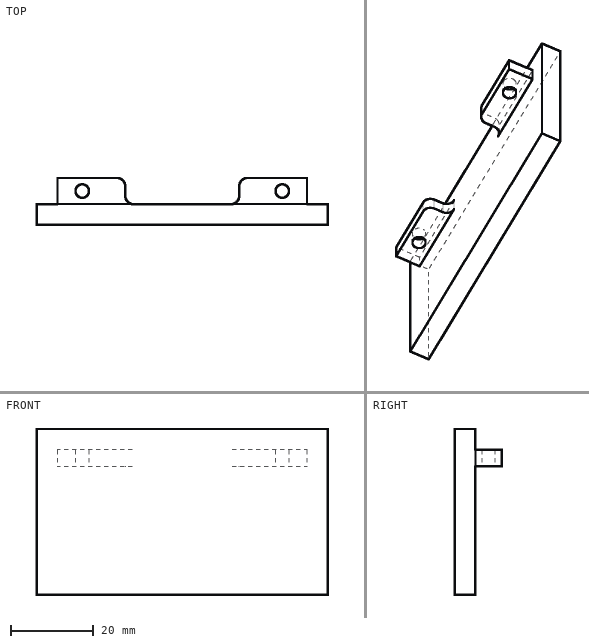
import cadquery as cq

plate_length = 70.26
plate_thickness = 5.0
plate_height = 40.0

tab_end_inset = 5.0
tab_top_inset = 5.0
tab_width = 16.4
tab_projection = 6.35
tab_thickness = 4.0
corner_radius = 2.0

hole_diameter = 3.2
hole_side_inset = 6.0
hole_offset = tab_projection / 2

tab_outer_x = plate_length / 2 - tab_end_inset
tab_inner_x = tab_outer_x - tab_width
tab_tip_y = plate_thickness + tab_projection
tab_bottom_z = plate_height - tab_top_inset - tab_thickness


def make_plate():
    return cq.Workplane("XY").box(
        plate_length, plate_thickness, plate_height, centered=(True, False, False)
    )


def make_right_tab():
    """Tab on the +X side, rounded at its inner corner and flared at its inner root."""
    tab = (
        cq.Workplane("XY", origin=(0, 0, tab_bottom_z))
        .moveTo(tab_outer_x, plate_thickness)
        .lineTo(tab_outer_x, tab_tip_y)
        .lineTo(tab_inner_x + corner_radius, tab_tip_y)
        .radiusArc((tab_inner_x, tab_tip_y - corner_radius), -corner_radius)
        .lineTo(tab_inner_x, plate_thickness + corner_radius)
        .radiusArc((tab_inner_x - corner_radius, plate_thickness), corner_radius)
        .close()
        .extrude(tab_thickness)
    )
    hole = (
        cq.Workplane("XY", origin=(0, 0, tab_bottom_z))
        .center(tab_outer_x - hole_side_inset, plate_thickness + hole_offset)
        .circle(hole_diameter / 2)
        .extrude(tab_thickness)
    )
    return tab.cut(hole)


right_tab = make_right_tab()
left_tab = right_tab.mirror("YZ")
result = make_plate().union(right_tab).union(left_tab)